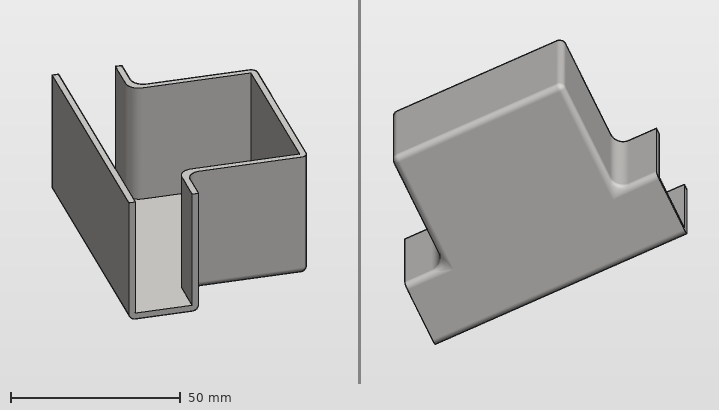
import cadquery as cq

channel_length = 81.9
channel_gap = 17.4
box_width = 55.9
depth = 58.7
height = 39.3
wall = 2.0
outer_edge_radius = 2.0
junction_radius = 4.0

channel_depth = channel_gap + 2 * wall
cavity_height = height - wall


def tee_prism(length, front, shoulder, width, back, bottom, prism_height):
    """T-shaped prism: a crossbar along X with a centred stem running toward +Y."""
    outline = [
        (-length / 2, front),
        (length / 2, front),
        (length / 2, shoulder),
        (width / 2, shoulder),
        (width / 2, back),
        (-width / 2, back),
        (-width / 2, shoulder),
        (-length / 2, shoulder),
    ]
    return cq.Workplane("XY").workplane(offset=bottom).polyline(outline).close().extrude(prism_height)


def vertical_edges_at(body, half_width, y):
    """Select the mirrored pair of vertical edges at X = +/-half_width."""
    tolerance = 0.01
    lower = (-half_width - tolerance, y - tolerance, -tolerance)
    upper = (half_width + tolerance, y + tolerance, height + tolerance)
    return body.edges("|Z").edges(cq.selectors.BoxSelector(lower, upper, boundingbox=True))


def outer_body():
    body = tee_prism(channel_length, 0, channel_depth, box_width, depth, 0, height)
    body = vertical_edges_at(body, box_width / 2, depth).fillet(outer_edge_radius)
    body = body.faces("<Z").edges("not(<X or >X)").fillet(outer_edge_radius)
    return vertical_edges_at(body, box_width / 2, channel_depth).fillet(junction_radius)


def cavity():
    inner_width = box_width - 2 * wall
    inner_shoulder = channel_depth - wall
    body = tee_prism(
        channel_length, wall, inner_shoulder, inner_width, depth - wall, wall, cavity_height
    )
    return vertical_edges_at(body, inner_width / 2, inner_shoulder).fillet(junction_radius)


result = outer_body().cut(cavity())